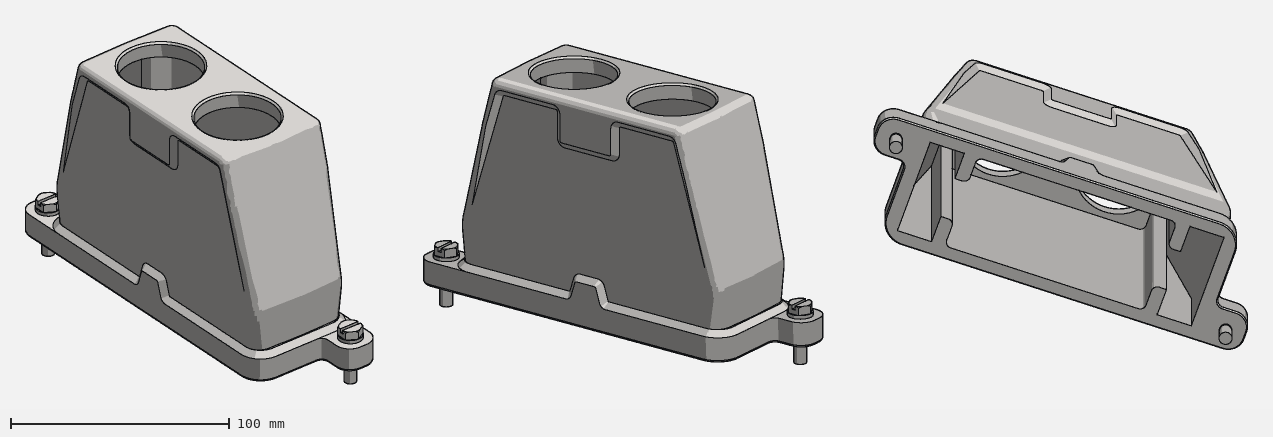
import cadquery as cq

FLANGE_HALF_X = 78.3
FLANGE_HALF_Y = 29.0
FLANGE_HEIGHT = 12.0
FLANGE_CORNER = 11.5
SEAT_RISE = 2.9
UNDERSIDE_CHAMFER_HEIGHT = 1.0
UNDERSIDE_CHAMFER_INSET = 0.5

EAR_REACH = 96.0
EAR_WIDTH = 19.2
EAR_CORNER = 7.7
EAR_ROOT_FILLET = 3.5
SCREW_X = 86.4
SCREW_Y = 19.4

BUMP_FOOT_HALF = 8.8
BUMP_TOP_HALF = 5.8
BUMP_TOP_Z = 21.9
BUMP_CORNER = 1.2
BUMP_ROOT_FILLET = 3.5
BUMP_LEDGE = 5.8

HOOD_HALF_X = 74.9
HOOD_TOP_HALF_X = 55.1
HOOD_BASE_HALF_Y = FLANGE_HALF_Y - SEAT_RISE
HOOD_TOP_Z = 110.0
END_KNEE_Z = 35.3
SIDE_KNEE_Z = 36.3
SIDE_SHOULDER_Z = 86.0
END_CROWN = 0.8
UPRIGHT_FILLET = 4.2
FOOT_CORNER = 8.3
FOOT_CORNER_AT_KNEE = 3.3
TOP_FILLET = 3.6
KNEE_FILLET = 11.5

PANEL_BOTTOM_Z = 44.7
PANEL_TOP_Z = 102.5
PANEL_BOTTOM_HALF = 66.2
PANEL_TOP_HALF = 48.4
PANEL_WALL_ANGLE = 53.0
PANEL_CORNER = 1.0
TAB_HALF = 17.7
TAB_BOTTOM_Z = 84.9
TAB_CORNER = 4.2

END_WALL = 3.8
ROOF = 7.7
CAVITY_HALF_Y = 22.8
PILLAR_INNER_X = 48.2
PILLAR_OUTER_X = 54.5
PILLAR_INNER_Y = 9.8
PILLAR_FILLET = 2.9

ENTRY_DIAMETER = 40.0
ENTRY_OFFSET_X = 28.0
ENTRY_CHAMFER = 1.0

HEX_CORNERS = 12.0
HEX_HEIGHT = 4.2
HEX_TOP_DIAMETER = 10.8
HEX_TOP_CHAMFER = 0.5
COLLAR_DIAMETER = 12.0
COLLAR_HEIGHT = 1.7
SLOT_WIDTH = 1.7
SLOT_DEPTH = 2.0
NECK_DIAMETER = 5.4
NECK_BOTTOM_Z = -1.2
NECK_TAPER = 0.5
THREAD_DIAMETER = 6.0
SCREW_BOTTOM_Z = -11.3

END_SLOPE = (HOOD_HALF_X - HOOD_TOP_HALF_X) / (HOOD_TOP_Z - END_KNEE_Z)
SIDE_SLOPE = (FLANGE_HALF_Y - HOOD_BASE_HALF_Y) / (SIDE_SHOULDER_Z - SIDE_KNEE_Z)
PANEL_Y = HOOD_BASE_HALF_Y + SIDE_SLOPE * (PANEL_BOTTOM_Z - SIDE_KNEE_Z)
SCREW_PLACES = [(SCREW_X, SCREW_Y), (-SCREW_X, -SCREW_Y)]
PICK_MARGIN = 0.2
CLEARANCE = 2.0


def block(x_min, x_max, y_min, y_max, z_min, z_max):
    """Box between two opposite corners."""
    size = (x_max - x_min, y_max - y_min, z_max - z_min)
    return cq.Workplane("XY").box(*size, centered=False).translate((x_min, y_min, z_min))


def around(half_width, height):
    """Selector for the sketch points at one height, out to a half width either side of centre."""
    reach = half_width + PICK_MARGIN
    low, high = height - PICK_MARGIN, height + PICK_MARGIN
    return cq.selectors.BoxSelector((-reach, low, -PICK_MARGIN), (reach, high, PICK_MARGIN))


def both_sides(body):
    """The body together with its mirror image on the other long side."""
    return body.union(body.mirror("XZ"))


def make_flange():
    """Rounded plate with two diagonally opposite screw ears and a sloped seat for the hood."""
    plate_size = (2 * FLANGE_HALF_X, 2 * FLANGE_HALF_Y)
    plate = cq.Workplane("XY").rect(*plate_size).extrude(FLANGE_HEIGHT)
    ear_inner_y = FLANGE_HALF_Y - EAR_WIDTH
    right_ear = block(0, EAR_REACH, ear_inner_y, FLANGE_HALF_Y, 0, FLANGE_HEIGHT)
    left_ear = right_ear.rotate((0, 0, 0), (0, 0, 1), 180)
    flange = plate.union(right_ear).union(left_ear).clean()

    def round_edges(body, x, y, radius):
        corners = [(x, y, FLANGE_HEIGHT / 2), (-x, -y, FLANGE_HEIGHT / 2)]
        for corner in corners:
            body = body.edges(cq.selectors.NearestToPointSelector(corner)).fillet(radius)
        return body

    flange = round_edges(flange, EAR_REACH, FLANGE_HALF_Y, EAR_CORNER)
    flange = round_edges(flange, EAR_REACH, ear_inner_y, EAR_CORNER)
    flange = round_edges(flange, FLANGE_HALF_X, ear_inner_y, EAR_ROOT_FILLET)
    flange = round_edges(flange, FLANGE_HALF_X, -FLANGE_HALF_Y, FLANGE_CORNER)
    flange = flange.faces("<Z").chamfer(UNDERSIDE_CHAMFER_INSET, UNDERSIDE_CHAMFER_HEIGHT)

    seat_outline = cq.Sketch().rect(*plate_size).vertices().fillet(FLANGE_CORNER)
    seat = cq.Workplane("XY", origin=(0, 0, FLANGE_HEIGHT)).placeSketch(seat_outline)
    return flange.union(seat.extrude(SEAT_RISE, taper=45))


def make_latch_bump():
    """Trapezoid bump on the front side, widening at 45 degrees towards the hood wall."""
    ledge_end = BUMP_FOOT_HALF + BUMP_LEDGE
    right = [
        (ledge_end, FLANGE_HEIGHT / 2),
        (ledge_end, FLANGE_HEIGHT),
        (BUMP_FOOT_HALF, FLANGE_HEIGHT),
        (BUMP_TOP_HALF, BUMP_TOP_Z),
    ]
    left = [(-x, z) for x, z in reversed(right)]
    roots = around(BUMP_FOOT_HALF, FLANGE_HEIGHT)
    outline = cq.Sketch().polygon([*right, *left, right[0]])
    outline = outline.vertices(">Y").fillet(BUMP_CORNER)
    outline = outline.reset().vertices(roots).fillet(BUMP_ROOT_FILLET)
    face = cq.Workplane("XZ", origin=(0, -FLANGE_HALF_Y, 0)).placeSketch(outline)
    return face.extrude(-SEAT_RISE, taper=-45)


def crowned_section(half_x, half_y):
    """Rectangle outline whose two ends bulge to a shallow point on the centreline."""
    corner_x = half_x - END_CROWN * half_y / FLANGE_HALF_Y
    right = [(corner_x, -half_y), (half_x, 0), (corner_x, half_y)]
    left = [(-x, -y) for x, y in right]
    return right + left


def make_hood_block():
    """Outside shape of the hood: crowned ends leaning in above a rounded knee, and flared sides."""
    def wire(half_x, z):
        points = [cq.Vector(x, y, z) for x, y in crowned_section(half_x, FLANGE_HALF_Y)]
        return cq.Wire.makePolygon(points, close=True)

    base = wire(HOOD_HALF_X, FLANGE_HEIGHT)
    knee = wire(HOOD_HALF_X, END_KNEE_Z)
    top = wire(HOOD_TOP_HALF_X, HOOD_TOP_Z)
    ends = cq.Workplane(cq.Solid.makeLoft([base, knee, top], True))
    ends = knee_edges(ends).fillet(KNEE_FILLET)

    right = [
        (HOOD_BASE_HALF_Y, FLANGE_HEIGHT),
        (HOOD_BASE_HALF_Y, SIDE_KNEE_Z),
        (FLANGE_HALF_Y, SIDE_SHOULDER_Z),
        (FLANGE_HALF_Y, HOOD_TOP_Z),
    ]
    left = [(-y, z) for y, z in reversed(right)]
    sides = cq.Workplane("YZ").polyline(right + left).close().extrude(HOOD_HALF_X, both=True)
    return ends.intersect(sides)


def knee_edges(body):
    """Edges across the two ends where they start to lean inwards."""
    def is_knee(edge):
        return abs(edge.Center().z - END_KNEE_Z) < PICK_MARGIN and abs(edge.Center().x) > HOOD_TOP_HALF_X
    return body.edges().filter(is_knee)


def upright_corner_edges(body):
    """Edges that run up the four corners of the hood."""
    def is_upright_corner(edge):
        start, end = edge.startPoint(), edge.endPoint()
        climbs = abs(start.z - end.z) > PICK_MARGIN
        return climbs and min(abs(start.y), abs(end.y)) > HOOD_BASE_HALF_Y / 2
    return body.edges().filter(is_upright_corner)


def make_hood_outside():
    """Hood block with its corners and roof edges rounded and its foot corners widened."""
    hood = make_hood_block()
    hood = upright_corner_edges(hood).fillet(UPRIGHT_FILLET)
    hood = hood.faces(">Z").edges().fillet(TOP_FILLET)
    return hood.intersect(make_foot_envelope())


def make_foot_envelope():
    """Space whose corners widen downwards below the knee, open above it."""
    def section(z, radius):
        points = crowned_section(HOOD_HALF_X, HOOD_BASE_HALF_Y)
        outline = cq.Sketch().polygon([*points, points[0]])
        outline = outline.vertices(">Y or <Y").fillet(radius)
        return outline.moved(cq.Location(cq.Vector(0, 0, z)))

    foot = cq.Workplane("XY").placeSketch(
        section(FLANGE_HEIGHT, FOOT_CORNER),
        section(END_KNEE_Z, FOOT_CORNER_AT_KNEE),
    ).loft(ruled=True)
    above = block(
        -HOOD_HALF_X, HOOD_HALF_X, -FLANGE_HALF_Y, FLANGE_HALF_Y, END_KNEE_Z, HOOD_TOP_Z)
    return foot.union(above)


def make_panel_recess():
    """Cutting tool for the front panel; a tab of the full wall hangs down from its top edge."""
    right = [
        (PANEL_BOTTOM_HALF, PANEL_BOTTOM_Z),
        (PANEL_TOP_HALF, PANEL_TOP_Z),
        (TAB_HALF, PANEL_TOP_Z),
        (TAB_HALF, TAB_BOTTOM_Z),
    ]
    left = [(-x, z) for x, z in reversed(right)]
    outline = cq.Sketch().polygon([*right, *left, right[0]])
    outline = outline.vertices(">Y").fillet(PANEL_CORNER)
    outline = outline.reset().vertices(around(TAB_HALF, TAB_BOTTOM_Z)).fillet(TAB_CORNER)
    floor = cq.Workplane("XZ", origin=(0, -PANEL_Y, 0)).placeSketch(outline)
    return floor.extrude(FLANGE_HALF_Y - PANEL_Y, taper=-PANEL_WALL_ANGLE)


def make_cavity():
    """Inside space of the hood, open at the bottom, with a pillar left in each corner."""
    base_x = HOOD_HALF_X - END_WALL
    roof_z = HOOD_TOP_Z - ROOF
    roof_x = base_x - END_SLOPE * (roof_z - END_KNEE_Z)
    profile = [
        (-base_x, 0),
        (base_x, 0),
        (base_x, END_KNEE_Z),
        (roof_x, roof_z),
        (-roof_x, roof_z),
        (-base_x, END_KNEE_Z),
    ]
    cavity = cq.Workplane("XZ").polyline(profile).close().extrude(CAVITY_HALF_Y, both=True)
    for side_x in (-1, 1):
        for side_y in (-1, 1):
            cavity = cavity.cut(make_pillar(side_x, side_y))
    return pillar_edges(cavity).fillet(PILLAR_FILLET)


def pillar_edges(cavity):
    """Upright edges on the pillar sides that face the middle of the hood."""
    def is_inner_edge(edge):
        return abs(abs(edge.Center().x) - PILLAR_INNER_X) < PICK_MARGIN
    return cavity.edges("|Z").filter(is_inner_edge)


def make_pillar(side_x, side_y):
    """Upright pillar against one long wall, near one end of the cavity."""
    width = PILLAR_OUTER_X - PILLAR_INNER_X
    depth = CAVITY_HALF_Y - PILLAR_INNER_Y
    pillar = cq.Workplane("XY").rect(width, depth).extrude(HOOD_TOP_Z)
    middle_x = (PILLAR_INNER_X + PILLAR_OUTER_X) / 2
    middle_y = (PILLAR_INNER_Y + CAVITY_HALF_Y) / 2
    return pillar.translate((side_x * middle_x, side_y * middle_y, 0))


def make_cable_entry(x):
    """Cutting tool for one chamfered round hole through the roof."""
    radius = ENTRY_DIAMETER / 2
    bottom_z = HOOD_TOP_Z - ROOF - CLEARANCE
    hole = cq.Workplane("XY", origin=(x, 0, bottom_z)).circle(radius).extrude(HOOD_TOP_Z - bottom_z)
    rim = cq.Workplane(cq.Solid.makeCone(radius, radius + ENTRY_CHAMFER, ENTRY_CHAMFER))
    return hole.union(rim.translate((x, 0, HOOD_TOP_Z - ENTRY_CHAMFER)))


def turn(profile):
    """Solid of revolution about Z from a closed (radius, z) profile."""
    return cq.Workplane("XZ").polyline(profile).close().revolve(360, (0, 0), (0, 1))


def make_screw(x, y):
    """Slotted hexagon screw with a collar, a necked shank and a thread end."""
    head_z = FLANGE_HEIGHT + COLLAR_HEIGHT
    top_z = head_z + HEX_HEIGHT
    neck = NECK_DIAMETER / 2
    thread = THREAD_DIAMETER / 2
    shank = [
        (0, SCREW_BOTTOM_Z),
        (thread, SCREW_BOTTOM_Z),
        (thread, NECK_BOTTOM_Z - NECK_TAPER),
        (neck, NECK_BOTTOM_Z),
        (neck, FLANGE_HEIGHT),
        (COLLAR_DIAMETER / 2, FLANGE_HEIGHT),
        (COLLAR_DIAMETER / 2, head_z),
        (0, head_z),
    ]
    hexagon = cq.Workplane("XY", origin=(0, 0, head_z)).polygon(6, HEX_CORNERS).extrude(HEX_HEIGHT)
    cone = [
        (0, head_z),
        (HEX_CORNERS / 2, head_z),
        (HEX_CORNERS / 2, top_z - HEX_TOP_CHAMFER),
        (HEX_TOP_DIAMETER / 2, top_z),
        (0, top_z),
    ]
    head = hexagon.intersect(turn(cone))
    slot = block(-SLOT_WIDTH / 2, SLOT_WIDTH / 2, -HEX_CORNERS, HEX_CORNERS, top_z - SLOT_DEPTH, top_z)
    return turn(shank).union(head.cut(slot)).translate((x, y, 0))


def make_hood():
    """Hollow hood with its flange, latch bumps, panels, cable entries and screw holes."""
    hood = make_hood_outside().union(make_flange()).union(both_sides(make_latch_bump()))
    recess = make_panel_recess()
    hood = hood.cut(both_sides(recess)).cut(make_cavity())
    for x in (-ENTRY_OFFSET_X, ENTRY_OFFSET_X):
        hood = hood.cut(make_cable_entry(x))
    for x, y in SCREW_PLACES:
        hole = cq.Workplane("XY", origin=(x, y, 0)).circle(NECK_DIAMETER / 2).extrude(FLANGE_HEIGHT)
        hood = hood.cut(hole)
    return hood


hood = make_hood()
screws = [make_screw(x, y) for x, y in SCREW_PLACES]
result = cq.Compound.makeCompound([hood.val(), *[screw.val() for screw in screws]])